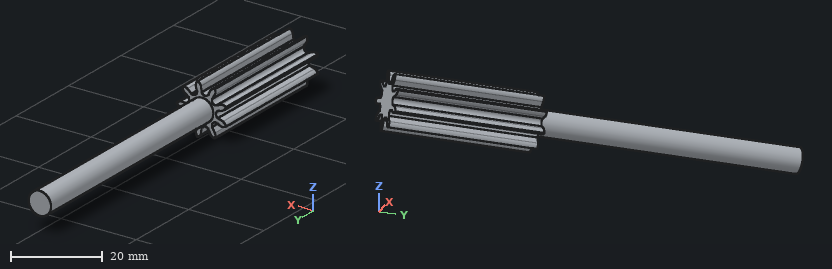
import cadquery as cq
import math

total_length = 96.8
gear_length = 35.0
shaft_diameter = 6.0

tooth_count = 9
tip_radius = 6.8
root_radius = 3.73
flank_start_radius = 4.3
flank_end_radius = 5.7
flank_start_half_angle = 8.6
flank_end_half_angle = 7.0
crown_radius = 6.4
crown_half_angle = 3.8

tooth_pitch = 360.0 / tooth_count


def polar(radius, degrees):
    angle = math.radians(degrees)
    return (radius * math.cos(angle), radius * math.sin(angle))


def pinion_outline(plane):
    """Closed outline of straight-flank teeth with arched crowns and round roots."""
    outline = plane.moveTo(*polar(flank_start_radius, -flank_start_half_angle))
    for index in range(tooth_count):
        axis = index * tooth_pitch
        next_flank = axis + tooth_pitch - flank_start_half_angle
        outline = (
            outline.lineTo(*polar(flank_end_radius, axis - flank_end_half_angle))
            .threePointArc(polar(crown_radius, axis - crown_half_angle), polar(tip_radius, axis))
            .threePointArc(
                polar(crown_radius, axis + crown_half_angle),
                polar(flank_end_radius, axis + flank_end_half_angle),
            )
            .lineTo(*polar(flank_start_radius, axis + flank_start_half_angle))
            .threePointArc(
                polar(root_radius, axis + tooth_pitch / 2),
                polar(flank_start_radius, next_flank),
            )
        )
    return outline.close()


pinion = pinion_outline(cq.Workplane("XZ")).extrude(-gear_length)

shaft = cq.Workplane("XZ").circle(shaft_diameter / 2).extrude(-total_length)

result = pinion.union(shaft)